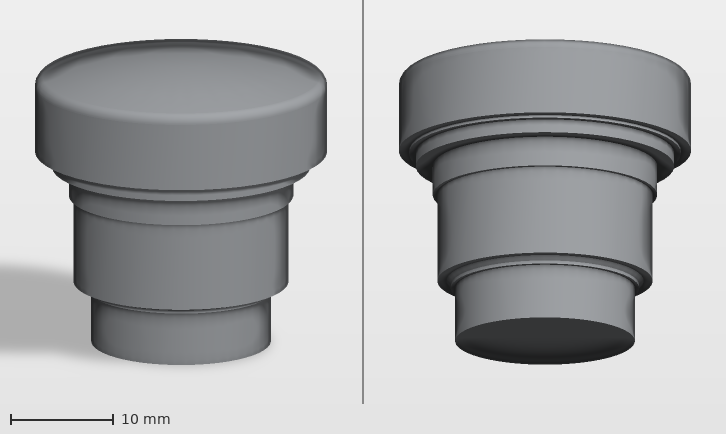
import cadquery as cq
import math

STEM_DIAMETER = 17.5
COLLAR_DIAMETER = 18.37
BODY_DIAMETER = 21.0
SHOULDER_DIAMETER = 21.88
FLANGE_DIAMETER = 25.18
WASHER_DIAMETER = 26.5
HEAD_DIAMETER = 28.5

COLLAR_BOTTOM = 5.32
BODY_BOTTOM = 6.07
SHOULDER_BOTTOM = 14.75
FLANGE_BOTTOM = 17.65
WASHER_BOTTOM = 18.95
HEAD_BOTTOM = 19.2
TOTAL_HEIGHT = 28.75

COLLAR_FLARE = 0.43
RIM_FILLET = 1.0
DOME_RADIUS = 47.15


def cylinder(diameter, bottom, top):
    """Cylinder on the Z axis between two heights."""
    return cq.Workplane("XY").workplane(offset=bottom).circle(diameter / 2).extrude(top - bottom)


def collar():
    """Thin collar that flares out at 45 degrees up to the body."""
    radius = COLLAR_DIAMETER / 2
    flare_bottom = BODY_BOTTOM - COLLAR_FLARE
    flare_radius = radius + COLLAR_FLARE
    profile = (
        cq.Workplane("XZ")
        .moveTo(0, COLLAR_BOTTOM)
        .lineTo(radius, COLLAR_BOTTOM)
        .lineTo(radius, flare_bottom)
        .lineTo(flare_radius, BODY_BOTTOM)
        .lineTo(0, BODY_BOTTOM)
        .close()
    )
    return profile.revolve(360, (0, 0, 0), (0, 1, 0))


def domed_head():
    """Cylindrical head with a spherical top and a rounded rim tangent to it."""
    radius = HEAD_DIAMETER / 2
    dome_center_z = TOTAL_HEIGHT - DOME_RADIUS
    rim_center_x = radius - RIM_FILLET
    tilt = math.asin(rim_center_x / (DOME_RADIUS - RIM_FILLET))
    rim_center_z = dome_center_z + (DOME_RADIUS - RIM_FILLET) * math.cos(tilt)

    def dome_point(angle):
        return DOME_RADIUS * math.sin(angle), dome_center_z + DOME_RADIUS * math.cos(angle)

    profile = (
        cq.Workplane("XZ")
        .moveTo(0, HEAD_BOTTOM)
        .lineTo(radius, HEAD_BOTTOM)
        .lineTo(radius, rim_center_z)
        .tangentArcPoint(dome_point(tilt), relative=False)
        .threePointArc(dome_point(tilt / 2), (0, TOTAL_HEIGHT))
        .close()
    )
    return profile.revolve(360, (0, 0, 0), (0, 1, 0))


result = (
    cylinder(STEM_DIAMETER, 0, COLLAR_BOTTOM)
    .union(collar())
    .union(cylinder(BODY_DIAMETER, BODY_BOTTOM, SHOULDER_BOTTOM))
    .union(cylinder(SHOULDER_DIAMETER, SHOULDER_BOTTOM, FLANGE_BOTTOM))
    .union(cylinder(FLANGE_DIAMETER, FLANGE_BOTTOM, WASHER_BOTTOM))
    .union(cylinder(WASHER_DIAMETER, WASHER_BOTTOM, HEAD_BOTTOM))
    .union(domed_head())
)